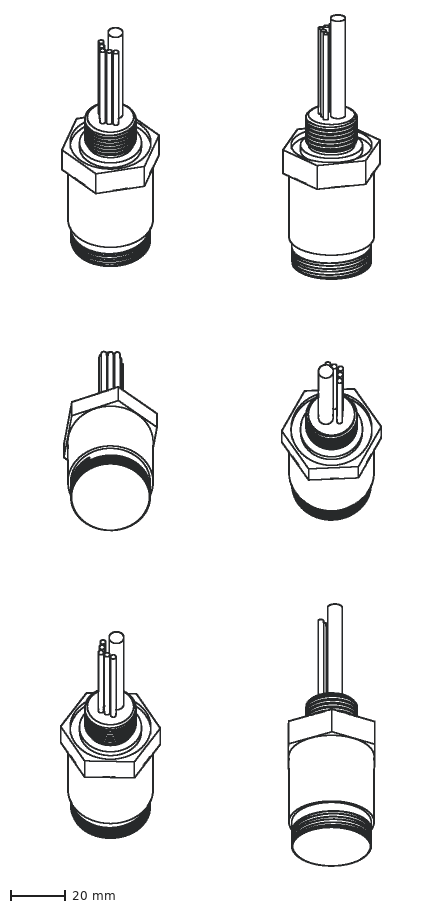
import cadquery as cq
import math

collar_height = 10.5
body_height = 28.0
hex_height = 9.7
stud_height = 12.5
wire_length = 35.0
cable_length = 40.0

body_base = collar_height
hex_base = body_base + body_height
hex_top = hex_base + hex_height
stud_top = hex_top + stud_height

hex_sides = 6
across_flats = 32.0
body_diameter = 31.6
collar_diameter = 29.5
collar_chamfer = 0.3
stud_diameter = 17.1

recess_outer_diameter = 30.0
recess_inner_diameter = 23.0
recess_depth = 2.3

cable_diameter = 5.5
cable_y = 2.5
wire_diameter = 2.0
wire_pitch_x = 2.0
wire_pitch_y = 1.5
middle_wire_y = -4.0
wires_per_side = 2

thread_diameter = 19.05
thread_pitch = 25.4 / 16
thread_length = 11.4
thread_angle = 60.0
thread_depth = 0.9
thread_chamfer = (thread_diameter - stud_diameter) / 2
thread_end_z = 61.8
thread_end_angle = 162.0
thread_turns = 9.0

groove_pitch = 2.4
groove_width = 1.1
groove_depth = 0.3
groove_end_z = 7.3
groove_end_angle = 198.5
groove_turns = 3.4

cutter_overlap = 0.1


def cylinder(diameter, base_z, height, x=0.0, y=0.0):
    """Upright cylinder standing on base_z."""
    return cq.Workplane("XY", origin=(x, y, base_z)).circle(diameter / 2).extrude(height)


def spiral(profile, pitch, turns, end_z, end_angle):
    """Sweep a (radius, height) profile up a right-hand helix that stops at the given height and angle."""
    rise = pitch * turns
    path = cq.Wire.makeHelix(pitch, rise, profile[0][0])
    solid = cq.Workplane("XZ").polyline(profile).close().sweep(cq.Workplane(path), isFrenet=True)
    start_angle = end_angle - 360 * turns
    return solid.rotate((0, 0, 0), (0, 0, 1), start_angle).translate((0, 0, end_z - rise))


def make_collar():
    """Lower cylinder with the spiral groove and a small bottom chamfer."""
    outer = collar_diameter / 2 + cutter_overlap
    inner = collar_diameter / 2 - groove_depth
    half = groove_width / 2
    profile = [(inner, -half), (outer, -half), (outer, half), (inner, half)]
    groove = spiral(profile, groove_pitch, groove_turns, groove_end_z, groove_end_angle)
    envelope = cylinder(collar_diameter, 0, collar_height).faces("<Z").chamfer(collar_chamfer)
    return cylinder(collar_diameter, 0, collar_height).cut(groove).intersect(envelope)


def make_hexagon():
    """Hexagon with corners on the X axis and a ring-shaped recess in its top."""
    across_corners = across_flats / math.cos(math.pi / hex_sides)
    base_plane = cq.Workplane("XY", origin=(0, 0, hex_base))
    hexagon = base_plane.polygon(hex_sides, across_corners).extrude(hex_height)
    recess_floor = hex_top - recess_depth
    recess = cylinder(recess_outer_diameter, recess_floor, recess_depth)
    boss = cylinder(recess_inner_diameter, recess_floor, recess_depth)
    return hexagon.cut(recess.cut(boss))


def make_stud():
    """Upper cylinder: a plain neck below a V-threaded length with chamfered ends."""
    root = thread_diameter / 2 - thread_depth
    outer = thread_diameter / 2 + cutter_overlap
    half = (outer - root) * math.tan(math.radians(thread_angle / 2))
    profile = [(root, 0), (outer, -half), (outer, half)]
    groove = spiral(profile, thread_pitch, thread_turns, thread_end_z, thread_end_angle)
    thread_base = stud_top - thread_length
    long_blank = cylinder(thread_diameter, 0, stud_top + stud_height)
    envelope = cylinder(thread_diameter, thread_base, thread_length).faces("<Z or >Z").chamfer(thread_chamfer)
    neck = cylinder(stud_diameter, hex_top, stud_height - thread_length)
    return neck.union(long_blank.cut(groove).intersect(envelope))


def make_leads():
    """One thick cable and five thin wires rising from the stud."""
    leads = cylinder(cable_diameter, stud_top, cable_length, y=cable_y)
    for step in range(-wires_per_side, wires_per_side + 1):
        x = step * wire_pitch_x
        y = middle_wire_y + abs(step) * wire_pitch_y
        leads = leads.add(cylinder(wire_diameter, stud_top, wire_length, x, y))
    return leads


result = make_collar().union(cylinder(body_diameter, body_base, body_height))
result = result.union(make_hexagon()).union(make_stud())
for lead in make_leads().vals():
    result = result.union(cq.Workplane(lead))